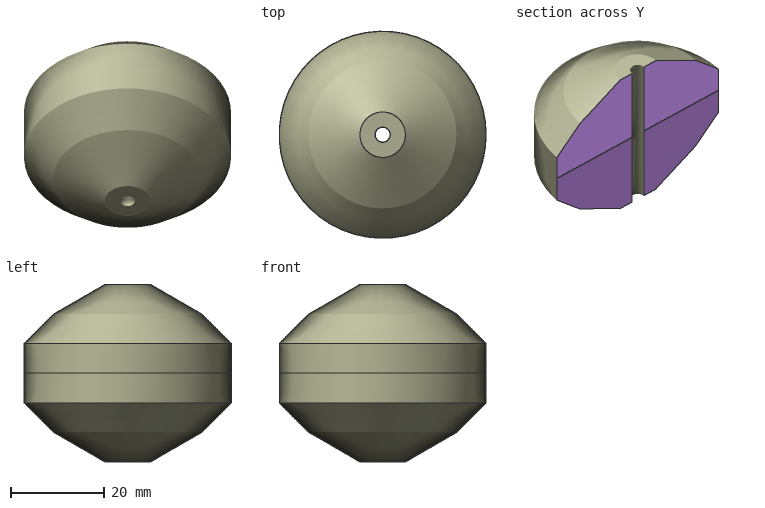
import cadquery as cq
import math

rim_diameter = 44.45
band_height = 6.35
bore_diameter = 3.175
shoulder_angle = 45.0
crown_angle = 30.0

rim_radius = rim_diameter / 2
shoulder_radius = rim_radius - band_height / math.tan(math.radians(shoulder_angle))
tip_radius = shoulder_radius - band_height / math.tan(math.radians(crown_angle))
bore_radius = bore_diameter / 2

rim_top = band_height
shoulder_top = 2 * band_height
tip_top = 3 * band_height


def half_shell(direction):
    """One bored half on the Z axis, from the parting plane up (+1) or down (-1)."""
    profile = (
        cq.Workplane("XZ")
        .moveTo(bore_radius, 0)
        .lineTo(rim_radius, 0)
        .lineTo(rim_radius, direction * rim_top)
        .lineTo(shoulder_radius, direction * shoulder_top)
        .lineTo(tip_radius, direction * tip_top)
        .lineTo(bore_radius, direction * tip_top)
        .close()
    )
    return profile.revolve(360, (0, 0, 0), (0, 1, 0))


halves = [half_shell(direction) for direction in (1, -1)]

result = cq.Compound.makeCompound([half.val() for half in halves])